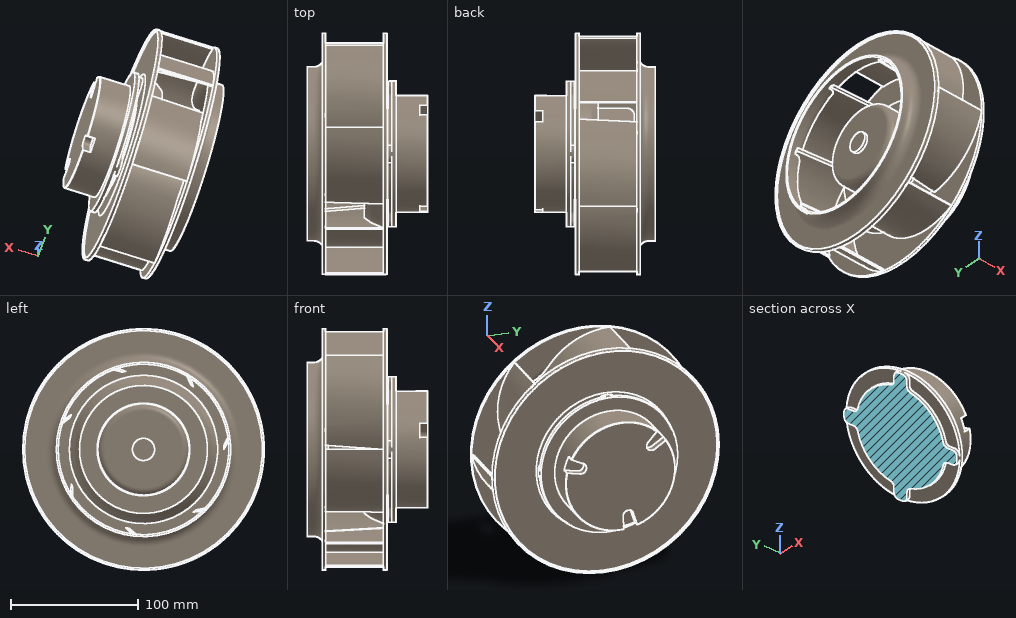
import cadquery as cq
import math


wheel_radius = 95.0
sheet = 1.5
lip_height = 1.3
lip_round = 0.5
inlet_radius = 68.5
inlet_straight = 5.3
shroud_back = 14.6
back_plate_front = 60.0
inlet_bore_radius = inlet_radius - sheet
shroud_front = shroud_back - sheet
flare_round = shroud_front - inlet_straight
flare_radius = inlet_radius + flare_round
throat_round = 7.0
throat_straight = shroud_back - throat_round
throat_radius = inlet_bore_radius + throat_round
back_plate_back = back_plate_front + sheet

blade_count = 7
blade_thickness = 1.5
blade_turn = 72.0
lead_radius_front = 65.5
lead_radius_back = 63.0

hub_front = 45.0
hub_bore_radius = 36.5
hub_front_radius = 50.4
hub_knee_radius = 54.2
hub_knee_depth = 5.3
hub_outer_radius = 58.3

rotor_front = 16.7
rotor_radius = 36.0
rotor_round = 5.3
boss_radius = 8.7
boss_height = 2.8

lug_front = 63.5
flange_disc_front = 66.5
flange_radius = 57.4
flange_core_radius = 44.6
lug_count = 4
lug_width = 13.7
lug_corner_round = 5.0
lug_root_round = 4.2

can_front = 70.0
can_end = 95.0
can_radius = 46.0
can_chamfer = 0.4
notch_count = 3
notch_first_angle = 19.2
notch_half_angle = 7.2
notch_length = 6.5
notch_floor_round = 4.4


def revolve_about_x(profile):
    """Turn a profile, drawn as (axial, radial) points in the XY plane, fully about the X axis."""
    return profile.close().revolve(360, (0, 0, 0), (1, 0, 0))


def section_at(x):
    """Workplane across the axis, with local axes Y and Z."""
    return cq.Workplane("YZ", origin=(x, 0, 0))


def disc(start, end, radius):
    """Solid disc between two axial stations."""
    return section_at(start).circle(radius).extrude(end - start)


def turned(body, angle):
    """Copy of a body turned about the X axis, from -Y toward +Z."""
    return body.rotate((0, 0, 0), (1, 0, 0), -angle)


def arc_point(center, radius, angle):
    """Point of a circle at an angle in degrees from its first axis."""
    a = math.radians(angle)
    return (center[0] + radius * math.cos(a), center[1] + radius * math.sin(a))


def make_shroud():
    flare_center = (inlet_straight, flare_radius)
    throat_center = (throat_straight, throat_radius)
    lip_face = shroud_front - lip_height
    round_center = (lip_face + lip_round, wheel_radius - lip_round)
    return revolve_about_x(
        cq.Workplane("XY")
        .moveTo(0, inlet_bore_radius)
        .lineTo(0, inlet_radius)
        .lineTo(inlet_straight, inlet_radius)
        .threePointArc(arc_point(flare_center, flare_round, -45), (shroud_front, flare_radius))
        .lineTo(shroud_front, wheel_radius - sheet)
        .lineTo(lip_face, wheel_radius - sheet)
        .lineTo(lip_face, wheel_radius - lip_round)
        .threePointArc(arc_point(round_center, lip_round, 135), (lip_face + lip_round, wheel_radius))
        .lineTo(shroud_back, wheel_radius)
        .lineTo(shroud_back, throat_radius)
        .threePointArc(
            arc_point(throat_center, throat_round, -45), (throat_straight, inlet_bore_radius)
        )
    )


def make_back_plate():
    lip_face = back_plate_back + lip_height
    round_center = (lip_face - lip_round, wheel_radius - lip_round)
    return revolve_about_x(
        cq.Workplane("XY")
        .moveTo(back_plate_front, hub_outer_radius)
        .lineTo(back_plate_front, wheel_radius)
        .lineTo(lip_face - lip_round, wheel_radius)
        .threePointArc(arc_point(round_center, lip_round, 45), (lip_face, wheel_radius - lip_round))
        .lineTo(lip_face, wheel_radius - sheet)
        .lineTo(back_plate_back, wheel_radius - sheet)
        .lineTo(back_plate_back, hub_outer_radius)
    )


def make_blade_envelope():
    """Space between shroud and back plate, with a leading edge slanting in toward the back plate."""
    return revolve_about_x(
        cq.Workplane("XY")
        .moveTo(inlet_straight, lead_radius_front)
        .lineTo(inlet_straight, inlet_bore_radius)
        .lineTo(throat_straight, inlet_bore_radius)
        .threePointArc(
            arc_point((throat_straight, throat_radius), throat_round, -45),
            (shroud_back, throat_radius),
        )
        .lineTo(shroud_back, wheel_radius)
        .lineTo(back_plate_front, wheel_radius)
        .lineTo(back_plate_front, lead_radius_back)
    )


def make_blade():
    """Backward-curved strip, an arc in section that spans one blade pitch around the axis."""
    pitch = math.radians(360 / blade_count)
    lead = (-lead_radius_back, 0)
    tip = (-wheel_radius * math.cos(pitch), wheel_radius * math.sin(pitch))
    chord = math.dist(lead, tip)
    half_turn = math.radians(blade_turn / 2)
    radius = chord / 2 / math.sin(half_turn)
    rise = radius * math.cos(half_turn)
    chord_y = (tip[0] - lead[0]) / chord
    chord_z = (tip[1] - lead[1]) / chord
    center = ((lead[0] + tip[0]) / 2 + rise * chord_z, (lead[1] + tip[1]) / 2 - rise * chord_y)
    depth = back_plate_front - inlet_straight
    section = section_at(inlet_straight)
    band = section.center(*center).circle(radius).circle(radius - blade_thickness).extrude(depth)
    beyond_tip = (2 * tip[0] - center[0], 2 * tip[1] - center[1])
    sector = (
        section.moveTo(*center)
        .lineTo(*beyond_tip)
        .lineTo(-2 * wheel_radius, beyond_tip[1])
        .lineTo(-2 * wheel_radius, -wheel_radius)
        .lineTo(center[0], -wheel_radius)
        .close()
        .extrude(depth)
    )
    return band.intersect(sector).intersect(make_blade_envelope())


def make_bladed_wheel():
    wheel = make_back_plate()
    blade = make_blade()
    for i in range(blade_count):
        wheel = wheel.union(turned(blade, i * 360 / blade_count))
    return wheel


def make_hub_pan():
    return revolve_about_x(
        cq.Workplane("XY")
        .moveTo(hub_front, hub_bore_radius)
        .lineTo(hub_front, hub_front_radius)
        .lineTo(hub_front + hub_knee_depth, hub_knee_radius)
        .lineTo(back_plate_front, hub_outer_radius)
        .lineTo(back_plate_back, hub_outer_radius)
        .lineTo(back_plate_back, hub_bore_radius)
    )


def make_rotor():
    cap = disc(rotor_front, lug_front, rotor_radius).faces("<X").edges().fillet(rotor_round)
    return cap.union(disc(rotor_front - boss_height, rotor_front, boss_radius))


def fillet_lug_edges(body, edge_radius, fillet_radius):
    """Round the edges along X that lie at the given distance from the axis."""
    tolerance = 0.2
    edges = [
        edge
        for edge in body.edges("|X").vals()
        if abs(math.hypot(edge.Center().y, edge.Center().z) - edge_radius) < tolerance
    ]
    return cq.Workplane(body.val().fillet(fillet_radius, edges))


def make_flange():
    lug_depth = flange_disc_front - lug_front
    lugs = disc(lug_front, flange_disc_front, flange_core_radius)
    lug = section_at(lug_front).center(-flange_radius, 0).rect(flange_radius, lug_width).extrude(lug_depth)
    for i in range(lug_count):
        lugs = lugs.union(turned(lug, i * 360 / lug_count))
    lugs = lugs.intersect(disc(lug_front, flange_disc_front, flange_radius))
    lugs = fillet_lug_edges(lugs, flange_core_radius, lug_root_round)
    lugs = fillet_lug_edges(lugs, flange_radius, lug_corner_round)
    return lugs.union(disc(flange_disc_front, can_front, flange_radius))


def make_notch():
    """Wedge with radial walls that run tangent into a round floor, pointing along -Y."""
    half_angle = math.radians(notch_half_angle)
    floor_center = notch_floor_round / math.sin(half_angle)
    tangent_radius = notch_floor_round / math.tan(half_angle)
    outer = can_radius + 1.9
    wall_start = arc_point((0, 0), tangent_radius, 180 - notch_half_angle)
    wall_end = arc_point((0, 0), outer, 180 - notch_half_angle)
    return (
        section_at(can_end - notch_length)
        .moveTo(*wall_start)
        .lineTo(*wall_end)
        .lineTo(wall_end[0], -wall_end[1])
        .lineTo(wall_start[0], -wall_start[1])
        .threePointArc((notch_floor_round - floor_center, 0), wall_start)
        .close()
        .extrude(notch_length)
    )


def make_can():
    can = disc(can_front, can_end, can_radius).faces(">X").edges().chamfer(can_chamfer)
    notch = make_notch()
    for i in range(notch_count):
        can = can.cut(turned(notch, notch_first_angle + i * 360 / notch_count))
    return can


shroud = make_shroud()
bladed_wheel = make_bladed_wheel()
hub_pan = make_hub_pan()
rotor = make_rotor()
flange = make_flange()
can = make_can()

result = cq.Compound.makeCompound(
    [shroud.val(), bladed_wheel.val(), hub_pan.val(), rotor.val(), flange.val(), can.val()]
)